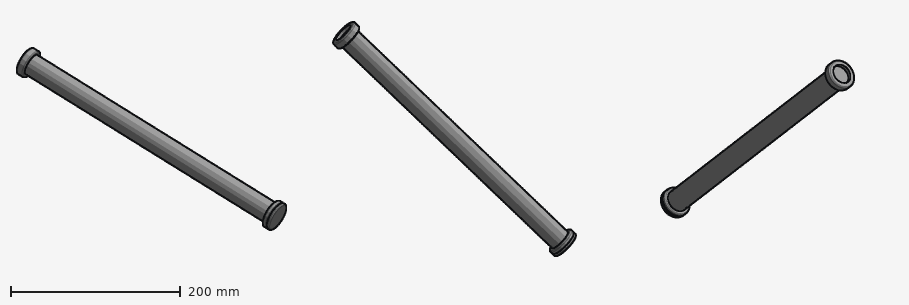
import cadquery as cq

length = 374.0
tube_radius = 13.5
collar_radius = 18.0
rim_fillet = 1.5

left_collar_width = 9.7
inner_ring_width = 6.0
outer_ring_width = 3.7

recess_radius = 12.0
recess_depth = 5.0

left_end = -length / 2
right_end = length / 2


def cylinder(start_x, radius, width):
    """Solid cylinder along X from start_x, with its seam line on the +Z side."""
    plane = cq.Plane(origin=(start_x, 0, 0), xDir=(0, 0, 1), normal=(1, 0, 0))
    return cq.Workplane(plane).circle(radius).extrude(width)


def ring(start_x, width):
    """Collar ring with both rims rounded."""
    return cylinder(start_x, collar_radius, width).edges("%CIRCLE").fillet(rim_fillet)


outer_ring_start = right_end - outer_ring_width
inner_ring_start = outer_ring_start - inner_ring_width

tube = cylinder(left_end, tube_radius, length)
left_collar = ring(left_end, left_collar_width)
inner_ring = ring(inner_ring_start, inner_ring_width)
outer_ring = ring(outer_ring_start, outer_ring_width)
recess = cylinder(left_end, recess_radius, recess_depth)

result = tube.union(left_collar).union(inner_ring).union(outer_ring).cut(recess)